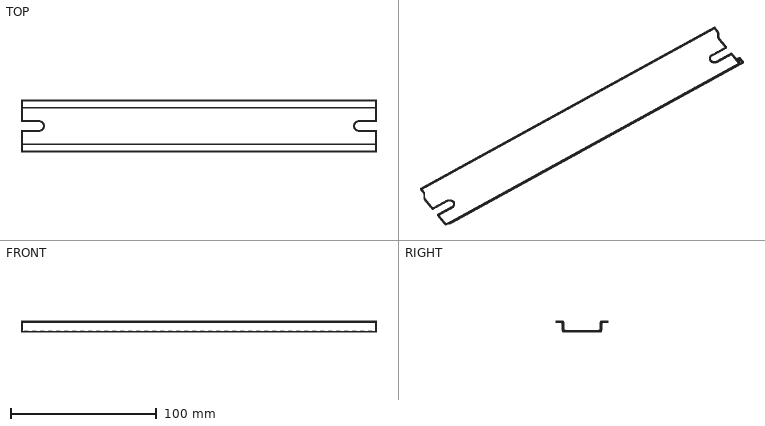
import cadquery as cq

length = 243.0
width = 35.0
height = 7.5

thickness = 1.0
channel_width = 27.0
inner_bend_radius = 0.8
outer_bend_radius = inner_bend_radius + thickness

slot_width = 6.5
slot_depth = 15.0

half_width = width / 2
wall_outer = channel_width / 2
wall_inner = wall_outer - thickness
flange_bottom = height - thickness


def rail_body():
    """Channel with outward flanges, centred on X and Y, with its base on Z = 0."""
    right_half = [
        (wall_outer, 0),
        (wall_outer, flange_bottom),
        (half_width, flange_bottom),
        (half_width, height),
        (wall_inner, height),
        (wall_inner, thickness),
    ]
    left_half = [(-y, z) for y, z in reversed(right_half)]
    return (
        cq.Workplane("YZ")
        .polyline(right_half + left_half)
        .close()
        .extrude(length / 2, both=True)
    )


def round_bends(body):
    """Round the two concentric corners of each of the four bends."""
    bend_corners = [
        (wall_outer, 0, outer_bend_radius),
        (wall_inner, thickness, inner_bend_radius),
        (wall_outer, flange_bottom, inner_bend_radius),
        (wall_inner, height, outer_bend_radius),
    ]
    for y, z, radius in bend_corners:
        for side in (-1, 1):
            corner = cq.selectors.NearestToPointSelector((0, side * y, z))
            body = body.edges(corner).fillet(radius)
    return body


def end_slot(end):
    """Round-bottomed slot cutter, opening through the end at X = end * length / 2."""
    return (
        cq.Workplane("XY")
        .center(end * length / 2, 0)
        .slot2D(2 * slot_depth, slot_width)
        .extrude(height)
    )


result = round_bends(rail_body())
for end in (-1, 1):
    result = result.cut(end_slot(end))